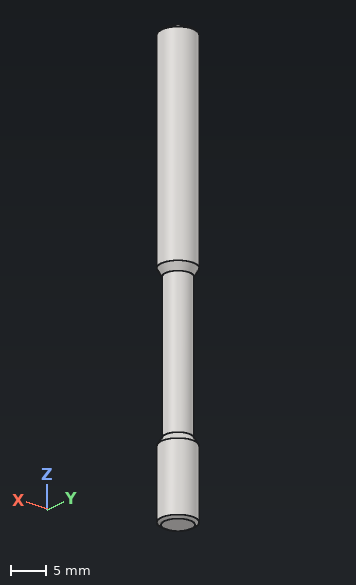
import cadquery as cq

length = 75.0
body_radius = 3.0

top_chamfer = 0.5
bottom_chamfer_width = 0.6
bottom_chamfer_height = 0.4

neck_radius = 2.25
head_length = 12.0
head_cone_length = 1.2
shank_length = 36.0
shank_cone_length = 1.3

shank_bottom = length - shank_length

profile = [
    (0, 0),
    (body_radius - bottom_chamfer_width, 0),
    (body_radius, bottom_chamfer_height),
    (body_radius, head_length),
    (neck_radius, head_length + head_cone_length),
    (neck_radius, shank_bottom - shank_cone_length),
    (body_radius, shank_bottom),
    (body_radius, length - top_chamfer),
    (body_radius - top_chamfer, length),
    (0, length),
]

axis_start = (0, 0)
axis_end = (0, 1)
result = cq.Workplane("XZ").polyline(profile).close().revolve(360, axis_start, axis_end)